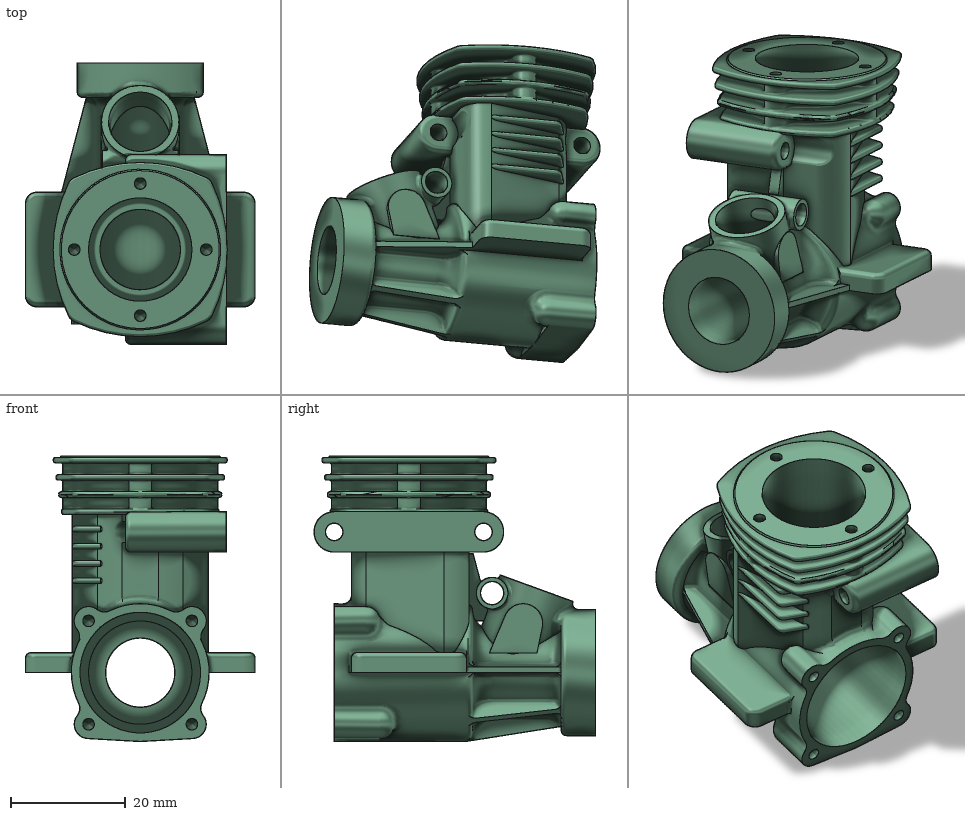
import cadquery as cq
import math


case_radius = 12.0
case_front_y = -13.0
case_rear_y = 11.1
case_edge_radius = 1.1
neck_radius = 7.5
neck_front_fillet = case_radius - case_edge_radius - neck_radius
neck_rear_fillet = 2.0
flange_radius = 11.0
flange_front_y = 26.5
flange_rear_y = 32.5
flange_edge_radius = 1.0
chamber_diameter = 21.0
chamber_rear_y = 8.0
bearing_diameter = 18.0
bearing_rear_y = 10.5
shaft_diameter = 12.0

screw_diameter = 2.01
screw_depth = 6.0
drill_tip_angle = 118.0
lug_offset = 9.0
lug_radius = 2.5
lug_fillet = 2.0
upper_lug_straight_end_y = -7.5
lower_lug_straight_end_y = -5.0

rib_thickness = 1.0
rib_base_fillet = 1.0
rib_rear_radius = 9.4
side_rib_front_radius = 13.7
rib_front_y = case_rear_y - case_edge_radius
lower_rib_angles = (-135, -90, -45)

wing_span = 40.0
wing_length = 20.0
wing_thickness = 3.5
wing_corner_radius = 2.0
wing_edge_radius = 1.0
wing_root_fillet = 0.4

body_radius = 10.5
body_front_y = -10.0
body_rear_y = 10.5
body_half_width = 11.85
body_widest_y = 6.1
body_corner_radius = 4.4
body_base_fillet = 1.5
flank_margin = 0.4

fin_count = 4
fin_pitch = 3.0
fin_thickness = 1.0
fin_edge_radius = 0.45
fin_root_fillet = 0.3
lowest_fin_z = 28.0
lowest_fin_half_width = 13.75
fin_growth = 0.47
fin_side_radius = 26.3
fin_corner_radius = 2.0
core_radius = 10.0
stud_offset = 11.5
stud_boss_radius = 2.0
stud_boss_fillet = 2.0
top_fin_z = lowest_fin_z + (fin_count - 1) * fin_pitch
deck_z = top_fin_z + fin_thickness / 2
deck_rim_radius = 14.0
deck_rim_height = 0.25
liner_diameter = 18.0
liner_seat_z = 13.5
cylinder_bore_diameter = 14.0

side_fin_count = 4
side_fin_top_z = 25.0
side_fin_corner_x = -11.7
side_fin_corner_y = -6.6
side_fin_tip = (-6.9, -8.4)
side_fin_corner_radius = 1.5

mount_bolt_y = 13.0
mount_z = 24.5
mount_radius = 3.52
mount_left_x = -2.6
mount_right_x = 15.0
mount_edge_radius = 1.0
mount_bolt_diameter = 3.0
mount_clearance_radius = 3.5
mount_clearance_round = 0.7

socket_outer_diameter = 13.5
socket_bore_diameter = 11.0
socket_mouth_y = 22.25
socket_mouth_z = 14.7
socket_lean = 20.0
socket_flange_fillet = 1.0
pad_half_width = 6.8
pad_top_y = 19.9
pad_top_z = 8.6
pad_top_radius = 3.4
pad_base_z = 3.4
pad_base_front_y = 14.0
pad_base_rear_y = 22.3

clamp_y = 14.5
clamp_z = 13.85
clamp_outer_diameter = 5.5
clamp_hole_diameter = 4.0
clamp_half_length = 6.6
clamp_fillet = 0.5
web_thickness = 2.0
web_neck_y = 12.4
web_neck_z = 16.2
web_top_y = 11.2
web_top_z = 20.7
web_base_z = 9.0

contact_tolerance = 0.001
bend = math.sqrt(0.5)


def disc_along_y(radius, y_start, y_end, x=0.0, z=0.0):
    """Cylinder parallel to Y between two Y positions."""
    direction = cq.Vector(0, 1, 0)
    return cq.Workplane(cq.Solid.makeCylinder(radius, y_end - y_start, cq.Vector(x, y_start, z), direction))


def disc_along_x(radius, x_start, x_end, y, z):
    """Cylinder parallel to X between two X positions."""
    direction = cq.Vector(1, 0, 0)
    return cq.Workplane(cq.Solid.makeCylinder(radius, x_end - x_start, cq.Vector(x_start, y, z), direction))


def upright_prism(outline, z_bottom, z_top):
    """Extrude an XY outline between two heights."""
    return outline.extrude(z_top - z_bottom).translate((0, 0, z_bottom))


def blend_joint(base, addition, radius, keep=None):
    """Join two bodies and fillet the edges where they meet, or the kept part of those edges."""
    joined = base.union(addition)
    joint_edges = []
    for edge in joined.edges().vals():
        middle = edge.positionAt(0.5)
        if keep is not None and not keep(middle):
            continue
        vertex = cq.Vertex.makeVertex(middle.x, middle.y, middle.z)
        gap = max(base.val().distance(vertex), addition.val().distance(vertex))
        if gap < contact_tolerance:
            joint_edges.append(edge)
    return joined.newObject(joint_edges).fillet(radius)


def drilled_hole(point, direction):
    """Blind screw hole with a conical drill tip."""
    radius = screw_diameter / 2
    tip = radius / math.tan(math.radians(drill_tip_angle / 2))
    start = cq.Vector(*point)
    axis = cq.Vector(*direction)
    shank = cq.Solid.makeCylinder(radius, screw_depth, start, axis)
    cone = cq.Solid.makeCone(radius, 0, tip, start + axis * screw_depth, axis)
    return cq.Workplane(shank).union(cq.Workplane(cone))


def turned_body(points_and_arcs):
    """Revolve an XY profile about Y; a pair of points is an arc through the first to the second."""
    profile = cq.Workplane("XY").moveTo(*points_and_arcs[0])
    for item in points_and_arcs[1:]:
        if isinstance(item[0], tuple):
            profile = profile.threePointArc(*item)
        else:
            profile = profile.lineTo(*item)
    return profile.close().revolve(360, (0, 0, 0), (0, 1, 0))


def case_edge_arc():
    """Middle and end of the rounded rear edge of the barrel, in the XY half plane."""
    edge = case_edge_radius
    middle = (case_radius - edge + edge * bend, case_rear_y - edge + edge * bend)
    return middle, (case_radius - edge, case_rear_y)


def flange_edge_arc():
    """Middle and end of the rounded front edge of the rear flange."""
    rim = flange_edge_radius
    middle = (flange_radius - rim + rim * bend, flange_front_y + rim - rim * bend)
    return middle, (flange_radius, flange_front_y + rim)


def make_barrel(rear_y):
    """Plain crankcase barrel from the front face back to the given Y."""
    return disc_along_y(case_radius, case_front_y, rear_y)


def make_rear_flange():
    """Rear flange with a spigot that reaches forward inside the neck."""
    spigot_radius = (neck_radius + shaft_diameter / 2) / 2
    return turned_body([
        (0, chamber_rear_y),
        (spigot_radius, chamber_rear_y),
        (spigot_radius, flange_front_y),
        (flange_radius - flange_edge_radius, flange_front_y),
        flange_edge_arc(),
        (flange_radius, flange_rear_y),
        (0, flange_rear_y),
    ])


def make_side_rib():
    """Level rib on the +X side, flush with the wing undersides."""
    return (
        cq.Workplane("XY")
        .polyline([
            (0, rib_front_y),
            (side_rib_front_radius, rib_front_y),
            (rib_rear_radius, flange_front_y),
            (0, flange_front_y),
        ])
        .close()
        .extrude(rib_thickness)
    )


def make_neck_recess():
    """Ring shaped recess around the neck, from the barrel edge to the rear flange."""
    outer = 2 * case_radius
    front = neck_front_fillet
    rear = neck_rear_fillet
    edge_middle, edge_end = case_edge_arc()
    front_middle = (neck_radius + front - front * bend, case_rear_y + front - front * bend)
    rear_middle = (neck_radius + rear - rear * bend, flange_front_y - rear + rear * bend)
    return turned_body([
        (outer, rib_front_y),
        (case_radius, rib_front_y),
        (edge_middle, edge_end),
        (front_middle, (neck_radius, case_rear_y + front)),
        (neck_radius, flange_front_y - rear),
        (rear_middle, (neck_radius + rear, flange_front_y)),
        (outer, flange_front_y),
    ])


def make_rib_slab(angle, z_shift):
    """Flat slab from the Y axis outwards, used to divide the neck recess."""
    reach = 3 * case_radius
    length = flange_rear_y - case_front_y
    slab = cq.Workplane("XY").box(reach, length, rib_thickness, centered=(False, False, True))
    return slab.translate((0, case_front_y, z_shift)).rotate((0, 0, 0), (0, 1, 0), -angle)


def make_neck_pockets():
    """Pockets between the ribs on the +X half, filleted along the ribs."""
    half_space = cq.Workplane("XY").box(
        3 * case_radius, 3 * flange_rear_y, 6 * case_radius, centered=(False, True, True))
    recess = make_neck_recess().intersect(half_space)
    recess = recess.cut(make_rib_slab(0, rib_thickness / 2))
    for angle in lower_rib_angles:
        recess = recess.cut(make_rib_slab(angle, 0))

    pockets = []
    for pocket in recess.solids().vals():
        rib_edges = []
        for edge in pocket.Edges():
            middle = edge.positionAt(0.5)
            spans_y = abs(edge.positionAt(0).y - edge.positionAt(1).y) > contact_tolerance
            near_neck = math.hypot(middle.x, middle.z) < 1.5 * case_radius
            if spans_y and near_neck and middle.x > contact_tolerance:
                rib_edges.append(edge)
        pockets.append(cq.Workplane(pocket).newObject(rib_edges).fillet(rib_base_fillet))
    return pockets


def make_ribbed_neck():
    """Tapered neck behind the barrel with the pockets between the ribs removed."""
    neck = turned_body([
        (0, rib_front_y),
        (case_radius, rib_front_y),
        (rib_rear_radius, flange_front_y),
        (0, flange_front_y),
    ])
    rib = make_side_rib()
    neck = neck.union(rib).union(rib.mirror("YZ"))
    for pocket in make_neck_pockets():
        neck = neck.cut(pocket).cut(pocket.mirror("YZ"))
    return neck


def make_lug(x, z, straight_end_y):
    """Round screw lug with a domed rear end."""
    lug = turned_body([
        (0, case_front_y),
        (lug_radius, case_front_y),
        (lug_radius, straight_end_y),
        ((lug_radius * bend, straight_end_y + lug_radius * bend), (0, straight_end_y + lug_radius)),
    ])
    return lug.translate((x, 0, z))


def behind_front_face(point):
    """True for points that are not on the front face."""
    return point.y > case_front_y + contact_tolerance


def make_lug_pair(barrel, side_z, straight_end_y):
    """Barrel with two lugs at one height, blended all round."""
    left = make_lug(-lug_offset, side_z * lug_offset, straight_end_y)
    right = make_lug(lug_offset, side_z * lug_offset, straight_end_y)
    return blend_joint(barrel, left.union(right), lug_fillet, behind_front_face)


def make_lug_base():
    """Filling under the case whose faces are tangent to the lower lugs and the barrel."""
    spacing = math.hypot(lug_offset, lug_offset)
    normal = math.radians(-45) - math.acos((case_radius - lug_radius) / spacing)
    along = (math.cos(normal), math.sin(normal))
    on_case = (case_radius * along[0], case_radius * along[1])
    on_lug = (lug_offset + lug_radius * along[0], -lug_offset + lug_radius * along[1])
    return (
        cq.Workplane("XZ", origin=(0, case_front_y, 0))
        .polyline([
            (-on_case[0], on_case[1]),
            on_case,
            on_lug,
            (lug_offset, -lug_offset),
            (-lug_offset, -lug_offset),
            (-on_lug[0], on_lug[1]),
        ])
        .close()
        .extrude(case_front_y - lower_lug_straight_end_y)
    )


def above_underside(point):
    """True for points above the wing undersides."""
    return point.z > contact_tolerance


def make_wings(barrel):
    """Flat mounting wings blended into the barrel, with rounded corners and top edges."""
    plate = cq.Workplane("XY").box(wing_span, wing_length, wing_thickness, centered=(True, True, False))
    plate = plate.edges("|Z").fillet(wing_corner_radius)
    wings = blend_joint(barrel, plate, wing_root_fillet, above_underside)
    top_edges = []
    for edge in wings.edges().vals():
        middle = edge.positionAt(0.5)
        at_top = abs(middle.z - wing_thickness) < contact_tolerance
        if at_top and abs(middle.x) > case_radius + wing_root_fillet / 2:
            top_edges.append(edge)
    wings = wings.newObject(top_edges).fillet(wing_edge_radius)
    behind = cq.Workplane("XY").box(wing_span, wing_length, wing_span)
    return wings.cut(behind.translate((0, rib_front_y + wing_length / 2, 0)))


def make_body():
    """Cylinder body whose sides widen towards the rear."""
    flat_x = math.sqrt(body_radius**2 - body_front_y**2)
    flank = body_radius * bend
    mid_angle = (math.atan2(-body_front_y, flat_x) + math.pi / 4) / 2
    arc_x = body_radius * math.cos(mid_angle)
    arc_y = -body_radius * math.sin(mid_angle)
    corner_x = body_half_width - body_corner_radius
    swell = body_corner_radius * bend
    corner_arc = (corner_x + swell, body_rear_y - body_corner_radius + swell)
    outline = (
        cq.Workplane("XY")
        .moveTo(-flat_x, body_front_y)
        .lineTo(flat_x, body_front_y)
        .threePointArc((arc_x, arc_y), (flank, -flank))
        .lineTo(body_half_width, body_widest_y)
        .threePointArc(corner_arc, (corner_x, body_rear_y))
        .lineTo(-corner_x, body_rear_y)
        .threePointArc((-corner_arc[0], corner_arc[1]), (-body_half_width, body_widest_y))
        .lineTo(-flank, -flank)
        .threePointArc((-arc_x, arc_y), (-flat_x, body_front_y))
        .close()
    )
    return upright_prism(outline, 0, lowest_fin_z)


def ahead_of_flanks(point):
    """True for points on the round front of the body, ahead of its slanted sides."""
    return point.y < -body_radius * bend + flank_margin


def make_fin(level):
    """One bulged square cooling fin; higher fins are wider."""
    half = lowest_fin_half_width + level * fin_growth
    inset = fin_side_radius - half
    corner = (math.sqrt(2 * fin_side_radius**2 - inset**2) - inset) / 2
    outline = (
        cq.Workplane("XY")
        .moveTo(-corner, -corner)
        .threePointArc((0, -half), (corner, -corner))
        .threePointArc((half, 0), (corner, corner))
        .threePointArc((0, half), (-corner, corner))
        .threePointArc((-half, 0), (-corner, -corner))
        .close()
    )
    fin = outline.extrude(fin_thickness).edges("|Z").fillet(fin_corner_radius)
    fin = fin.faces("<Z or >Z").edges().fillet(fin_edge_radius)
    return fin.translate((0, 0, lowest_fin_z + level * fin_pitch - fin_thickness / 2))


def make_fin_core(z_bottom, z_top):
    """Round core between the fins with a blended boss around every stud hole."""
    height = z_top - z_bottom
    core = cq.Workplane("XY").circle(core_radius).extrude(height)
    boss_length = 2 * (stud_offset + stud_boss_radius)
    for angle in (0, 90):
        bosses = cq.Workplane("XY").slot2D(boss_length, 2 * stud_boss_radius, angle)
        core = core.union(bosses.extrude(height))
    blend_selector = cq.selectors.BoxSelector(
        (-core_radius, -core_radius, 0), (core_radius, core_radius, height))
    core = core.edges("|Z").edges(blend_selector).fillet(stud_boss_fillet)
    return core.translate((0, 0, z_bottom))


def make_finned_top():
    """Core, cooling fins and the raised sealing deck."""
    deck_top_radius = deck_rim_radius - deck_rim_height
    deck = cq.Solid.makeCone(deck_rim_radius, deck_top_radius, deck_rim_height, cq.Vector(0, 0, deck_z))
    top = cq.Workplane(deck)
    for level in reversed(range(fin_count)):
        fin_z = lowest_fin_z + level * fin_pitch
        core_bottom = max(fin_z - fin_pitch / 2, lowest_fin_z)
        core_top = min(fin_z + fin_pitch / 2, deck_z)
        core = make_fin_core(core_bottom, core_top)
        top = top.union(blend_joint(core, make_fin(level), fin_root_fillet))
    return top


def make_side_fin():
    """Wedge fin with a rounded front outer corner and rounded edges."""
    fin = (
        cq.Workplane("XY")
        .polyline([
            (-body_half_width, body_widest_y),
            (side_fin_corner_x, side_fin_corner_y),
            side_fin_tip,
            (0, 0),
        ])
        .close()
        .extrude(fin_thickness)
    )
    corner = cq.selectors.NearestToPointSelector((side_fin_corner_x, side_fin_corner_y, fin_thickness / 2))
    fin = fin.edges("|Z").edges(corner).fillet(side_fin_corner_radius)
    return fin.faces("<Z or >Z").edges().fillet(fin_edge_radius)


def add_side_fins(body):
    """Short wedge fins standing on the slanted -X side of the body."""
    fin = make_side_fin()
    for index in range(side_fin_count):
        z = side_fin_top_z - index * fin_pitch - fin_thickness / 2
        body = body.union(fin.translate((0, 0, z)))
    return body


def make_exhaust_mount():
    """Round-ended block across the cylinder, rounded around its -X end."""
    length = mount_right_x - mount_left_x
    block = (
        cq.Workplane("YZ", origin=(mount_left_x, 0, mount_z))
        .slot2D(2 * (mount_bolt_y + mount_radius), 2 * mount_radius)
        .extrude(length)
    )
    return block.faces("<X").edges().fillet(mount_edge_radius)


def cut_mount_clearance(body):
    """Rounded scallops in the body that give access to the mount bolts from -X."""
    for side in (-1, 1):
        scallop = disc_along_x(
            mount_clearance_radius, -body_half_width - 1, mount_left_x, side * mount_bolt_y, mount_z)
        body = body.cut(scallop)
    rim_edges = []
    for edge in body.edges("not #Z").vals():
        middle = edge.positionAt(0.5)
        at_mount = abs(middle.z - mount_z) < contact_tolerance
        if at_mount and edge.geomType() != "LINE" and middle.x < mount_left_x - contact_tolerance:
            rim_edges.append(edge)
    return body.newObject(rim_edges).fillet(mount_clearance_round)


def socket_cylinder(diameter, length):
    """Cylinder running down the socket axis from its mouth."""
    lean = math.radians(socket_lean)
    mouth = cq.Vector(0, socket_mouth_y, socket_mouth_z)
    down = cq.Vector(0, -math.sin(lean), -math.cos(lean))
    return cq.Workplane(cq.Solid.makeCylinder(diameter / 2, length, mouth, down))


def socket_length():
    """Distance along the socket axis from its mouth to the crankshaft axis."""
    return socket_mouth_z / math.cos(math.radians(socket_lean))


def tangent_point(y, z, side):
    """Point of the pad's round top touched by a line from (y, z); side picks which one."""
    dy = y - pad_top_y
    dz = z - pad_top_z
    angle = math.atan2(dz, dy) + side * math.acos(pad_top_radius / math.hypot(dy, dz))
    return (pad_top_y + pad_top_radius * math.cos(angle), pad_top_z + pad_top_radius * math.sin(angle))


def make_socket():
    """Rear flange and carburettor socket blended together, with flat pads on both flanks."""
    pad = (
        cq.Workplane("YZ")
        .moveTo(pad_base_front_y, pad_base_z)
        .lineTo(*tangent_point(pad_base_front_y, pad_base_z, -1))
        .threePointArc(
            (pad_top_y, pad_top_z + pad_top_radius), tangent_point(pad_base_rear_y, pad_base_z, 1))
        .lineTo(pad_base_rear_y, pad_base_z)
        .close()
        .extrude(pad_half_width, both=True)
    )
    barrel = socket_cylinder(socket_outer_diameter, socket_length())
    return blend_joint(make_rear_flange(), barrel, socket_flange_fillet).union(pad)


def make_clamp_boss():
    """Cross boss for the carburettor clamp bolt."""
    return disc_along_x(clamp_outer_diameter / 2, -clamp_half_length, clamp_half_length, clamp_y, clamp_z)


def make_clamp_web():
    """Upright web tying the clamp boss to the cylinder."""
    return (
        cq.Workplane("YZ")
        .polyline([
            (0, web_base_z),
            (clamp_y, web_base_z),
            (clamp_y, clamp_z),
            (web_neck_y, web_neck_z),
            (web_top_y, web_top_z),
            (0, web_top_z),
        ])
        .close()
        .extrude(web_thickness / 2, both=True)
    )


def make_bores():
    """Crankshaft, cylinder and carburettor bores."""
    top_z = deck_z + deck_rim_height
    liner = cq.Workplane("XY").circle(liner_diameter / 2)
    bore = cq.Workplane("XY").circle(cylinder_bore_diameter / 2)
    return [
        disc_along_y(shaft_diameter / 2, case_front_y, flange_rear_y),
        disc_along_y(bearing_diameter / 2, case_front_y, bearing_rear_y),
        disc_along_y(chamber_diameter / 2, case_front_y, chamber_rear_y),
        upright_prism(liner, liner_seat_z, top_z),
        upright_prism(bore, 0, top_z),
        socket_cylinder(socket_bore_diameter, socket_length()),
    ]


def make_bolt_holes():
    """Through holes along X for the exhaust mount and the carburettor clamp."""
    bolt = mount_bolt_diameter / 2
    return [
        disc_along_x(bolt, mount_left_x, mount_right_x, -mount_bolt_y, mount_z),
        disc_along_x(bolt, mount_left_x, mount_right_x, mount_bolt_y, mount_z),
        disc_along_x(clamp_hole_diameter / 2, -clamp_half_length, clamp_half_length, clamp_y, clamp_z),
    ]


def make_screw_holes():
    """Blind screw holes in the front face and in the cylinder deck."""
    holes = []
    for side_x in (-1, 1):
        for side_z in (-1, 1):
            point = (side_x * lug_offset, case_front_y, side_z * lug_offset)
            holes.append(drilled_hole(point, (0, 1, 0)))
    top_z = deck_z + deck_rim_height
    for quarter in range(4):
        angle = math.radians(90 * quarter)
        point = (stud_offset * math.cos(angle), stud_offset * math.sin(angle), top_z)
        holes.append(drilled_hole(point, (0, 0, -1)))
    return holes


body = add_side_fins(cut_mount_clearance(make_body()))
result = blend_joint(make_barrel(rib_front_y), body, body_base_fillet, ahead_of_flanks)
additions = [
    make_lug_pair(make_barrel(0), 1, upper_lug_straight_end_y),
    make_lug_pair(make_barrel(0), -1, lower_lug_straight_end_y),
    make_lug_base(),
    make_wings(make_barrel(case_rear_y)),
    make_ribbed_neck(),
    make_clamp_web(),
    blend_joint(make_socket(), make_clamp_boss(), clamp_fillet),
    make_exhaust_mount(),
    make_finned_top(),
]
for addition in additions:
    result = result.union(addition, clean=False)
tools = make_bores() + make_bolt_holes() + make_screw_holes()
result = cq.Workplane(result.val().cut(*[tool.val() for tool in tools])).clean()